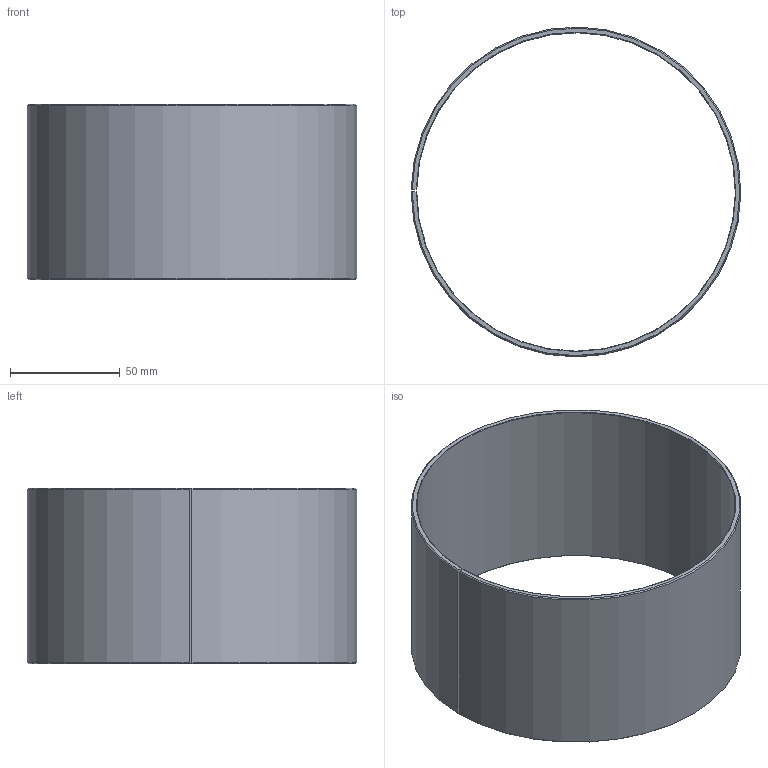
import cadquery as cq

outer_diameter = 150.0
wall = 2.5
height = 80.0
slit_angle = 1.0
outer_chamfer = 0.5
inner_chamfer = 0.2

outer_radius = outer_diameter / 2
inner_radius = outer_radius - wall


def make_wall_section():
    """Wall cross-section in the XZ plane on the -X side, with all four corners chamfered."""
    outer_x = -outer_radius
    inner_x = -inner_radius
    corners = [
        (outer_x + outer_chamfer, 0),
        (outer_x, outer_chamfer),
        (outer_x, height - outer_chamfer),
        (outer_x + outer_chamfer, height),
        (inner_x - inner_chamfer, height),
        (inner_x, height - inner_chamfer),
        (inner_x, inner_chamfer),
        (inner_x - inner_chamfer, 0),
    ]
    return cq.Workplane("XZ").polyline(corners).close()


def make_split_ring():
    """Sweep the section counterclockwise about Z, leaving a slit on the +Y side of the -X axis."""
    sweep_angle = 360 - slit_angle
    return make_wall_section().revolve(sweep_angle, (0, 0, 0), (0, 1, 0))


result = make_split_ring()